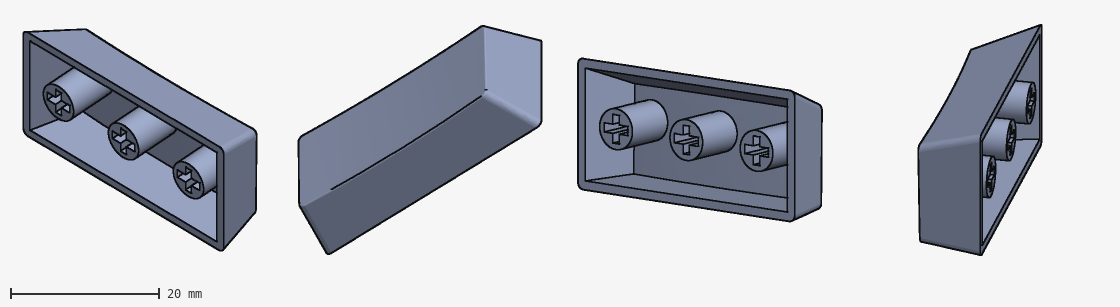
import cadquery as cq

mouth_width = 37.1
mouth_height = 18.0
depth = 9.15
wall = 1.25
floor_thickness = 1.08
side_slope = 0.27
upper_slope = 0.39
corner_radius = 0.93
rim_radius = 0.22
dish_sag = 0.55
dish_tilt = 1.0
stud_diameter = 5.6
stud_spacing = 12.02
cross_width = 4.08
cross_height = 3.95
cross_bar_thickness = 1.25
cross_post_thickness = 1.08

lower_z = -mouth_height / 2
upper_z = mouth_height / 2
wall_overrun = 1.1
blank_depth = depth + wall_overrun
crest_allowance = 0.025
dish_half_width = mouth_width / 2 - side_slope * depth
dish_pivot_z = upper_z - upper_slope * depth


def section(y, inset):
    """Wire of the tapered outline at depth y, moved inwards by inset."""
    x = mouth_width / 2 - inset - side_slope * y
    bottom = lower_z + inset
    top = upper_z - inset - upper_slope * y
    points = [(-x, y, bottom), (x, y, bottom), (x, y, top), (-x, y, top)]
    return cq.Wire.makePolygon([cq.Vector(*p) for p in points], close=True)


def tapered_block(inset):
    ends = [section(0, inset), section(blank_depth, inset)]
    return cq.Workplane(cq.Solid.makeLoft(ends, True))


def dish_side(offset):
    """Everything on the mouth side of the dish, with the dish moved by offset along Y."""
    crest = depth + crest_allowance + offset
    x = dish_half_width
    reach = mouth_width
    side_y = crest + dish_sag * (reach**2 - x**2) / x**2
    profile = (
        cq.Workplane("XY")
        .moveTo(-reach, -reach)
        .lineTo(reach, -reach)
        .lineTo(reach, side_y)
        .lineTo(x, crest)
        .threePointArc((0, crest - dish_sag), (-x, crest))
        .lineTo(-reach, side_y)
        .close()
        .extrude(mouth_height, both=True)
    )
    return profile.rotate((0, crest, dish_pivot_z), (1, crest, dish_pivot_z), -dish_tilt)


def studs():
    centres = [(-stud_spacing, 0), (0, 0), (stud_spacing, 0)]
    plane = cq.Workplane("XZ").pushPoints(centres)
    posts = plane.circle(stud_diameter / 2).extrude(-depth)
    bars = plane.rect(cross_width, cross_bar_thickness).extrude(-depth)
    uprights = plane.rect(cross_post_thickness, cross_height).extrude(-depth)
    return posts.cut(bars).cut(uprights)


outer = tapered_block(0).edges("not(#Y or |X or |Z)").fillet(corner_radius)
outer = outer.intersect(dish_side(0))
outer = outer.faces(">Y").edges().fillet(rim_radius)
interior = tapered_block(wall).intersect(dish_side(-floor_thickness))

result = outer.cut(interior).union(studs().intersect(interior))